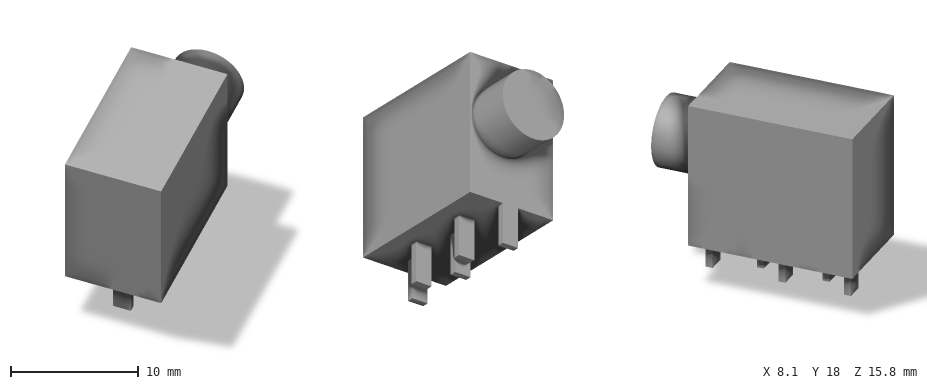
import cadquery as cq

total_length = 18.0
total_height = 15.8

body_width = 8.1
barrel_length = 4.0
body_length = total_length - barrel_length
pin_length = 3.5
body_height = total_height - pin_length

barrel_diameter = 6.0
axis_x = 4.91
axis_height = 7.0

pin_width = 1.5
pin_thickness = 0.6
rear_pin_y = body_length - pin_thickness
pin_front_faces = [1.6, 4.1, 7.2, 9.7, rear_pin_y]


def make_body():
    return cq.Workplane("XY").box(body_width, body_length, body_height, centered=False)


def make_barrel():
    return (
        cq.Workplane("XZ", origin=(axis_x, body_length, axis_height))
        .circle(barrel_diameter / 2)
        .extrude(-barrel_length)
    )


def make_pin(left_x, front_y):
    return (
        cq.Workplane("XY", origin=(left_x, front_y, 0))
        .rect(pin_width, pin_thickness, centered=False)
        .extrude(-pin_length)
    )


result = make_body().union(make_barrel())

for index, front_y in enumerate(pin_front_faces):
    is_left_pin = index % 2 == 0
    left_x = axis_x - pin_width if is_left_pin else axis_x
    result = result.union(make_pin(left_x, front_y))